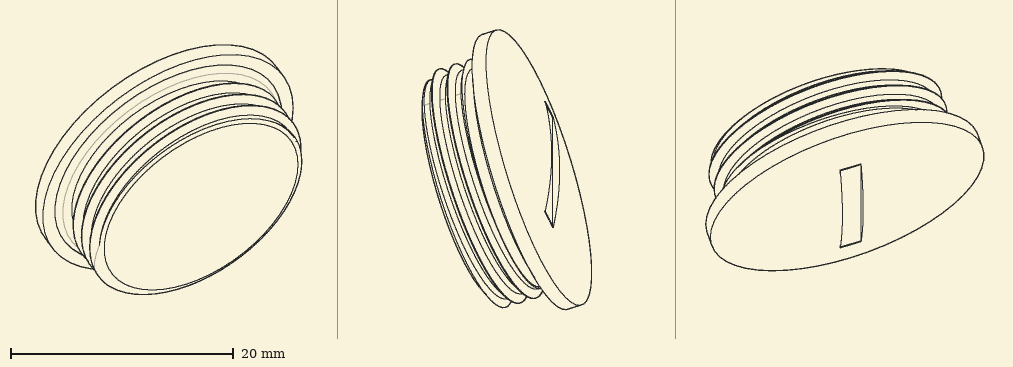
import cadquery as cq
import math

head_radius = 12.92
dome_height = 1.63
rim_thickness = 1.35
head_back = dome_height + rim_thickness
dome_radius = (head_radius**2 + dome_height**2) / (2 * dome_height)

slot_width = 1.96
slot_length = 15.98
slot_depth = 0.7

total_length = 8.97
shank_radius = 20.5 / 2
thread_start = 4.73
root_radius = 10.4
crest_radius = 11.12
pitch = 1.5
thread_base_width = 0.95
thread_crest_width = 0.08
first_crest = 4.95
tip_radius = 10.0
tip_slope = 2.0
thread_embed = 0.13
helix_start = first_crest - pitch
helix_turns = math.ceil((total_length - helix_start) / pitch) + 1
crest_clearance = 0.25

ring_thickness = 0.55
ring_radius = 11.68
ring_rounding = 0.52


def revolve_about_x(profile):
    """Turn a closed (X, radius) profile around the X axis."""
    return profile.close().revolve(360, (0, 0, 0), (1, 0, 0))


def make_head():
    half_radius = head_radius / 2
    mid_depth = dome_radius - math.sqrt(dome_radius**2 - half_radius**2)
    profile = (
        cq.Workplane("XY")
        .threePointArc((mid_depth, half_radius), (dome_height, head_radius))
        .lineTo(head_back, head_radius)
        .lineTo(head_back, 0)
    )
    slot = cq.Workplane("XY").box(slot_depth, slot_width, slot_length, centered=(False, True, True))
    return revolve_about_x(profile).cut(slot)


def threaded_end_envelope():
    """Cylinder around the crests over the threaded length, with the chamfered tip."""
    radius = crest_radius + crest_clearance
    chamfer_start = total_length - (radius - tip_radius) / tip_slope
    profile = (
        cq.Workplane("XY")
        .moveTo(thread_start, 0)
        .lineTo(thread_start, radius)
        .lineTo(chamfer_start, radius)
        .lineTo(total_length, tip_radius)
        .lineTo(total_length, 0)
    )
    return revolve_about_x(profile)


def make_thread_ridge():
    """Right-handed helical ridge that overruns the threaded length at both ends."""
    helix = cq.Wire.makeHelix(pitch, helix_turns * pitch, root_radius)
    flank_slope = (thread_base_width - thread_crest_width) / (2 * (crest_radius - root_radius))
    foot_radius = root_radius - thread_embed
    half_foot = thread_base_width / 2 + thread_embed * flank_slope
    half_crest = thread_crest_width / 2
    ridge = (
        cq.Workplane("XZ")
        .moveTo(foot_radius, -half_foot)
        .lineTo(crest_radius, -half_crest)
        .lineTo(crest_radius, half_crest)
        .lineTo(foot_radius, half_foot)
        .close()
        .sweep(cq.Workplane(obj=helix), isFrenet=True)
    )
    ridge = ridge.rotate((0, 0, 0), (0, 1, 0), 90)
    ridge = ridge.rotate((0, 0, 0), (1, 0, 0), 180)
    return ridge.translate((helix_start, 0, 0))


def make_threaded_end():
    """Core and ridge, trimmed together flat at the shank and along the tip chamfer."""
    core_start = first_crest - 2 * pitch
    core_length = (helix_turns + 3) * pitch
    core = cq.Workplane("YZ", origin=(core_start, 0, 0)).circle(root_radius).extrude(core_length)
    return core.union(make_thread_ridge()).intersect(threaded_end_envelope())


def make_plug():
    shank = cq.Workplane("YZ", origin=(head_back, 0, 0)).circle(shank_radius).extrude(thread_start - head_back)
    return make_head().union(shank).union(make_threaded_end())


def make_sealing_ring():
    """Flat ring around the shank, against the head, with a rounded outer corner."""
    return (
        cq.Workplane("YZ", origin=(head_back, 0, 0))
        .circle(ring_radius)
        .circle(shank_radius)
        .extrude(ring_thickness)
        .faces(">X")
        .edges(cq.selectors.RadiusNthSelector(-1))
        .fillet(ring_rounding)
    )


plug = make_plug()
sealing_ring = make_sealing_ring()
result = cq.Compound.makeCompound([plug.solids().val(), sealing_ring.solids().val()])